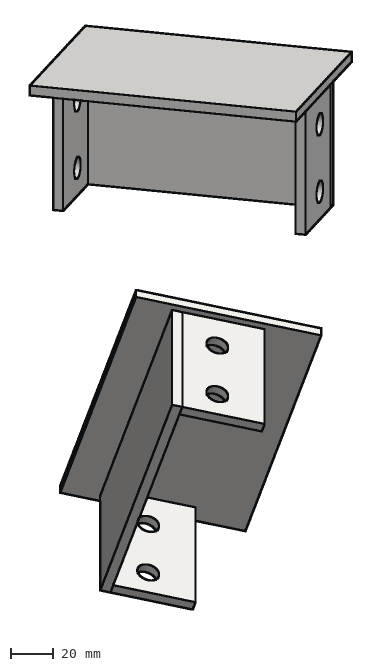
import cadquery as cq

top_length = 130.0
top_width = 90.0
thickness = 5.0

bracket_length = 123.2
wall_height = 65.0
side_depth = 40.0
back_overhang = 18.5

hole_diameter = 10.5
hole_setback = 17.0
lower_hole_height = 13.8
hole_spacing = 33.3

back_wall_rear_y = top_width / 2 - back_overhang
back_wall_front_y = back_wall_rear_y - thickness
wall_bottom_z = -wall_height


def make_top_plate():
    return cq.Workplane("XY").box(top_length, top_width, thickness, centered=(True, True, False))


def make_back_wall():
    return (
        cq.Workplane("XY")
        .box(bracket_length, thickness, wall_height, centered=(True, False, False))
        .translate((0, back_wall_front_y, wall_bottom_z))
    )


def make_side_wall(left_x):
    """Side wall in front of the back wall, with its left face at left_x."""
    wall = (
        cq.Workplane("XY")
        .box(thickness, side_depth, wall_height, centered=False)
        .translate((left_x, back_wall_front_y - side_depth, wall_bottom_z))
    )
    hole_y = back_wall_front_y - hole_setback
    lower_hole_z = wall_bottom_z + lower_hole_height
    holes = (
        cq.Workplane("YZ", origin=(left_x, 0, 0))
        .pushPoints([(hole_y, lower_hole_z), (hole_y, lower_hole_z + hole_spacing)])
        .circle(hole_diameter / 2)
        .extrude(thickness)
    )
    return wall.cut(holes)


top_plate = make_top_plate()
back_wall = make_back_wall()
side_left_faces = [-bracket_length / 2, bracket_length / 2 - thickness]
side_walls = [make_side_wall(left_x) for left_x in side_left_faces]

result = cq.Compound.makeCompound(
    [top_plate.val(), back_wall.val(), *[wall.val() for wall in side_walls]]
)